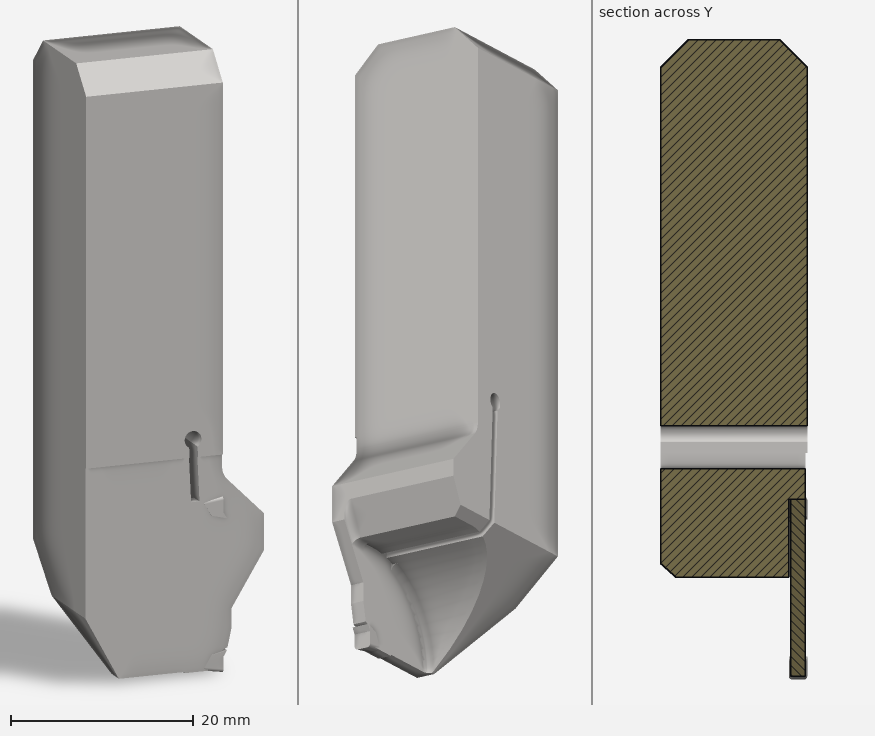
import cadquery as cq
import math

LENGTH = 70.0
SHANK = 16.0
TOP_CHAMFER = 3.0
HEAD_DEPTH = 20.9
HEAD_TOP_Z = 17.6
HEAD_BOTTOM_Z = 13.4
NECK_RADIUS = 2.0
TIP_Z = 0.5
HEEL_Y = 3.9
HEEL_Z = 7.7
JAW_SLOPE = 1.63

SIDE_RELIEF = 0.2
RELIEF_TOP_Z = 24.8
BLADE_OUTER_X = SHANK - SIDE_RELIEF
BLADE_INNER_X = 14.2
SLOPE_TOP_Z = 12.7
SLOPE_END_X = 13.6
SCOOP_RADIUS = 11.2
SCOOP_CENTER_Y = 15.55
SCOOP_TOP_Z = TIP_Z + SCOOP_RADIUS
SCOOP_CORNER_Y = 19.0
SCOOP_SIDE_SLOPE = 2.0
SCOOP_FILLET = 0.85

SLIT_Y = 12.5
SLIT_Z = 26.8
SLIT_HOLE_RADIUS = 1.0
SLIT_WIDTH = 1.0
SLIT_TILT = 2.8
SLIT_OVERRUN = 0.7
SLIT_LENGTH = SLIT_Z - SCOOP_TOP_Z + SLIT_OVERRUN

INSERT_LENGTH = 20.0
INSERT_TOP_Y = 17.15
INSERT_BOTTOM_Y = 11.6
INSERT_END_Z = 0.35
EDGE_Y = 16.1
EDGE_INNER_X = BLADE_INNER_X - SIDE_RELIEF
LIP_Y = 16.5
LIP_Z = 2.5
TIP_HEEL_Y = 13.7
RAKE_END_Z = 1.8
TIP_SHOULDER_UPPER = (15.6, 2.3)
TIP_SHOULDER_LOWER = (14.8, 2.1)
TIP_CORNER_RADIUS = 0.4
EDGE_SETBACK = 0.1
DIP_Y = LIP_Y + 0.15
DIP_Z = LIP_Z + 0.3
RISE_END_Z = 5.05

MARGIN = 3.5


def prism_x(points, x_start, x_end):
    """Extrude a closed (Y, Z) outline along X."""
    return cq.Workplane("YZ", origin=(x_start, 0, 0)).polyline(points).close().extrude(x_end - x_start)


def shank_block():
    """Side outline of the shank and head, with the neck fillet and top chamfers."""
    neck_z = HEAD_TOP_Z + HEAD_DEPTH - SHANK
    jaw_run_y = HEAD_DEPTH - (HEAD_BOTTOM_Z - TIP_Z) / JAW_SLOPE
    outline = [
        (0, HEEL_Z),
        (0, LENGTH),
        (SHANK, LENGTH),
        (SHANK, neck_z),
        (HEAD_DEPTH, HEAD_TOP_Z),
        (HEAD_DEPTH, HEAD_BOTTOM_Z),
        (jaw_run_y, TIP_Z),
        (HEEL_Y, TIP_Z),
    ]
    block = prism_x(outline, 0, SHANK)
    neck_edge = cq.selectors.NearestToPointSelector((SHANK / 2, SHANK, neck_z))
    block = block.edges(neck_edge).fillet(NECK_RADIUS)
    return block.faces(">Z").edges("|Y").chamfer(TOP_CHAMFER)


def side_relief():
    """Shallow step along the lower part of the +X face."""
    return cq.Workplane("XY").box(
        MARGIN, HEAD_DEPTH, RELIEF_TOP_Z, centered=False
    ).translate((BLADE_OUTER_X, 0, 0))


def underside_slope():
    """Wedge below the slanted -X underside."""
    drop_per_x = (SLOPE_TOP_Z - TIP_Z) / SLOPE_END_X
    start = (-MARGIN, SLOPE_TOP_Z + MARGIN * drop_per_x)
    end = (SLOPE_END_X + MARGIN, TIP_Z - MARGIN * drop_per_x)
    return (
        cq.Workplane("XZ")
        .polyline([start, end, (-MARGIN, end[1])])
        .close()
        .extrude(-HEAD_DEPTH)
    )


def scoop():
    """Clearance that thins the lower end down to the blade: arc, level wall, then a rising side wall."""
    diagonal = SCOOP_RADIUS / math.sqrt(2)
    side_y = HEAD_DEPTH + MARGIN
    side_z = SCOOP_TOP_Z + (side_y - SCOOP_CORNER_Y) * SCOOP_SIDE_SLOPE
    return (
        cq.Workplane("YZ", origin=(-MARGIN, 0, 0))
        .moveTo(SCOOP_CENTER_Y - SCOOP_RADIUS, -MARGIN)
        .lineTo(SCOOP_CENTER_Y - SCOOP_RADIUS, TIP_Z)
        .threePointArc(
            (SCOOP_CENTER_Y - diagonal, TIP_Z + diagonal),
            (SCOOP_CENTER_Y, SCOOP_TOP_Z),
        )
        .lineTo(SCOOP_CORNER_Y, SCOOP_TOP_Z)
        .lineTo(side_y, side_z)
        .lineTo(side_y, -MARGIN)
        .close()
        .extrude(MARGIN + BLADE_INNER_X)
    )


def clamping_slit():
    """Tilted slit through the full width, ending in a round relief hole."""
    hole = cq.Workplane("YZ").center(SLIT_Y, SLIT_Z).circle(SLIT_HOLE_RADIUS).extrude(SHANK)
    slot = (
        cq.Workplane("YZ")
        .center(SLIT_Y, SLIT_Z - SLIT_LENGTH / 2)
        .rect(SLIT_WIDTH, SLIT_LENGTH)
        .extrude(SHANK)
        .rotate((0, SLIT_Y, SLIT_Z), (1, SLIT_Y, SLIT_Z), SLIT_TILT)
    )
    return hole.union(slot)


def both_ends(points):
    """Close a (Y, Z) half outline by mirroring it about the middle of the insert."""
    return points + [(y, INSERT_LENGTH - z) for y, z in reversed(points)]


def insert_body(x_start):
    """Double-ended insert body whose top dips toward each cutting edge."""
    lower_half = [
        (INSERT_BOTTOM_Y, INSERT_END_Z),
        (EDGE_Y - EDGE_SETBACK, INSERT_END_Z),
        (EDGE_Y - EDGE_SETBACK, LIP_Z),
        (DIP_Y, DIP_Z),
        (INSERT_TOP_Y, RISE_END_Z),
    ]
    return prism_x(both_ends(lower_half), x_start, BLADE_OUTER_X)


def insert_tip():
    """Wide cutting tip at the lower end, tapering in width below the cutting edge."""
    side = prism_x(
        [
            (EDGE_Y, 0),
            (EDGE_Y, RAKE_END_Z),
            (LIP_Y, LIP_Z),
            TIP_SHOULDER_UPPER,
            TIP_SHOULDER_LOWER,
            (TIP_HEEL_Y, INSERT_END_Z),
        ],
        EDGE_INNER_X,
        SHANK,
    )
    width_taper = (
        cq.Workplane("XY")
        .polyline([
            (EDGE_INNER_X, LIP_Y),
            (SHANK, LIP_Y),
            (SHANK, EDGE_Y),
            (BLADE_OUTER_X, TIP_HEEL_Y),
            (BLADE_INNER_X, TIP_HEEL_Y),
            (EDGE_INNER_X, EDGE_Y),
        ])
        .close()
        .extrude(LIP_Z)
    )
    tip = side.intersect(width_taper)
    return tip.faces("<Z").edges("not |X").fillet(TIP_CORNER_RADIUS)


def make_insert():
    tip = insert_tip()
    opposite_tip = tip.mirror("XY", (0, 0, INSERT_LENGTH / 2))
    return insert_body(BLADE_INNER_X).union(tip).union(opposite_tip)


def make_holder(insert):
    """Holder with the insert's seat; the seat also clears the scoop's fillet beside the insert."""
    rounded_scoop = scoop().faces(">X").edges().fillet(SCOOP_FILLET)
    fillet_clearance = insert_body(BLADE_INNER_X - SCOOP_FILLET).intersect(scoop())
    return (
        shank_block()
        .cut(side_relief())
        .cut(underside_slope())
        .cut(rounded_scoop)
        .cut(clamping_slit())
        .cut(fillet_clearance)
        .cut(insert_body(EDGE_INNER_X))
        .cut(insert)
    )


insert = make_insert()
holder = make_holder(insert)
result = cq.Compound.makeCompound([holder.solids().val(), insert.solids().val()])